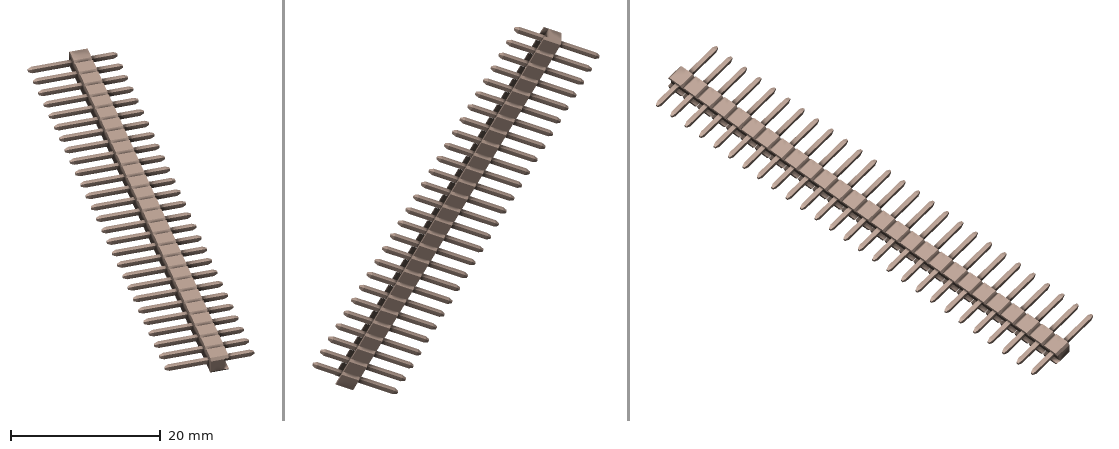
import cadquery as cq

pin_count = 27
row_length = 68.6
pitch = row_length / pin_count

cell_clearance = 0.04
housing_depth = pitch - cell_clearance
housing_height = housing_depth
corner_width = 0.3
corner_height = 0.385
recess_depth = 0.6
recess_height = 1.8

pin_size = 0.64
tip_size = pin_size / 2
pin_offset = -0.1
tip_length = 0.55
front_reach = 6.05
total_depth = 12.4
back_reach = total_depth - front_reach - housing_depth


def cell_center(index):
    """X position of a cell, with the row centred on X = 0."""
    return (index - (pin_count - 1) / 2) * pitch


def housing_outline():
    """Closed XZ outline of the row: a chain of cells with cut corners."""
    half_pitch = pitch / 2
    half_flat = half_pitch - corner_width
    top = housing_height / 2
    valley = top - corner_height

    upper = [(-row_length / 2, valley)]
    for index in range(pin_count):
        x = cell_center(index)
        upper.append((x - half_flat, top))
        upper.append((x + half_flat, top))
        upper.append((x + half_pitch, valley))
    lower = [(x, -z) for x, z in reversed(upper)]
    return upper + lower


def make_housing():
    """Notched bar with a channel running the full length of its back face."""
    bar = cq.Workplane("XZ").polyline(housing_outline()).close().extrude(-housing_depth)
    channel = cq.Workplane("XY").box(
        row_length, recess_depth, recess_height, centered=(True, False, True)
    )
    return bar.cut(channel.translate((0, housing_depth - recess_depth, 0)))


def make_pin():
    """Square pin along Y with a tapered tip at both ends."""
    front_shoulder = tip_length - front_reach
    back_shoulder = housing_depth + back_reach - tip_length
    shaft = (
        cq.Workplane("XZ", origin=(0, front_shoulder, 0))
        .rect(pin_size, pin_size)
        .extrude(front_shoulder - back_shoulder)
    )
    for shoulder, length in ((front_shoulder, tip_length), (back_shoulder, -tip_length)):
        tip = (
            cq.Workplane("XZ", origin=(0, shoulder, 0))
            .rect(pin_size, pin_size)
            .workplane(offset=length)
            .rect(tip_size, tip_size)
            .loft(ruled=True)
        )
        shaft = shaft.union(tip)
    return shaft


pin = make_pin()
result = make_housing()
for cell in range(pin_count):
    result = result.union(pin.translate((cell_center(cell) + pin_offset, 0, 0)))